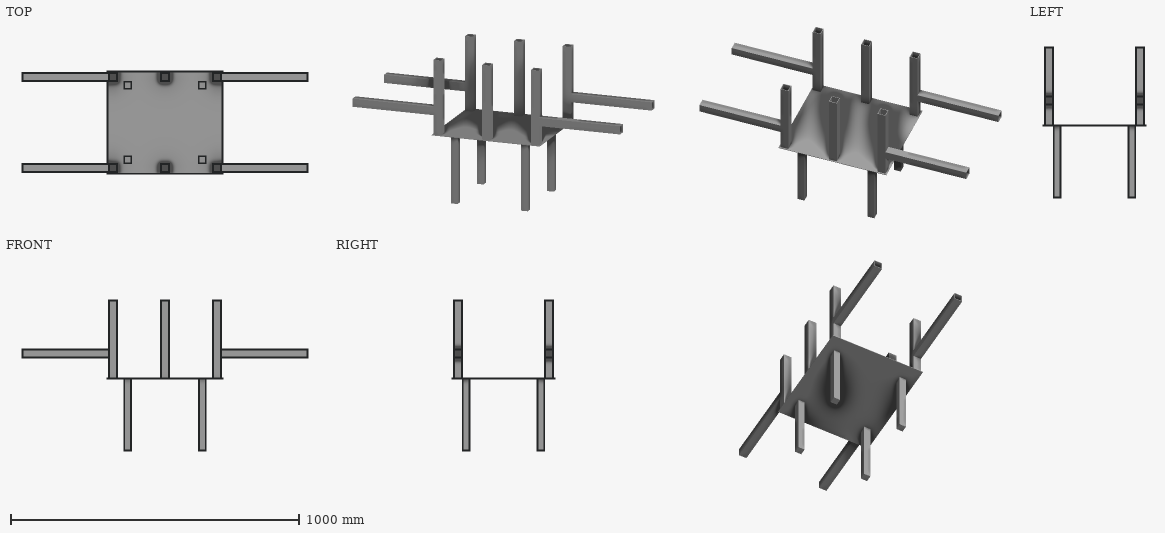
import cadquery as cq

overall_length = 990.0
plate_width = 355.0

plate_length = 400.0
plate_thickness = 2.0
edge_margin = 5.0

tube_size = 30.0
tube_wall = 2.0
post_height = 270.0
arm_axis_height = 85.0

leg_size = 25.0
leg_length = 249.0
leg_spacing = 259.0

post_x = plate_length / 2 - edge_margin - tube_size / 2
post_y = plate_width / 2 - edge_margin - tube_size / 2
arm_start_x = post_x + tube_size / 2
arm_length = overall_length / 2 - arm_start_x


def square_tube(base_plane, length):
    """Open-ended square tube extruded along the normal of base_plane."""
    return (
        cq.Workplane(base_plane)
        .rect(tube_size, tube_size)
        .rect(tube_size - 2 * tube_wall, tube_size - 2 * tube_wall)
        .extrude(length)
    )


def make_post(x, y):
    """Upright tube standing on the plate."""
    return square_tube(cq.Plane(origin=(x, y, 0)), post_height)


def make_arm(side, y):
    """Horizontal tube running outward along X from the side wall of a corner post."""
    start = cq.Plane(
        origin=(side * arm_start_x, y, arm_axis_height),
        xDir=(0, 1, 0),
        normal=(side, 0, 0),
    )
    return square_tube(start, arm_length)


plate = cq.Workplane("XY").rect(plate_length, plate_width).extrude(-plate_thickness)

legs = (
    cq.Workplane("XY")
    .rarray(leg_spacing, leg_spacing, 2, 2)
    .rect(leg_size, leg_size)
    .extrude(-(plate_thickness + leg_length))
)

frame = cq.Workplane("XY")
for y in (-post_y, post_y):
    for x in (-post_x, 0, post_x):
        frame = frame.union(make_post(x, y))
    for side in (-1, 1):
        frame = frame.union(make_arm(side, y))

result = plate.union(legs, clean=False).union(frame, clean=False)